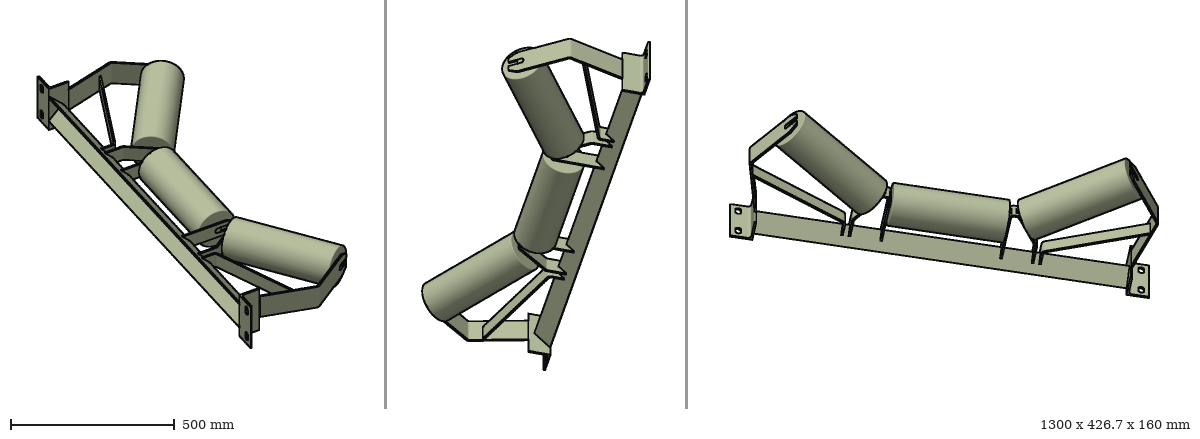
import cadquery as cq
import math


frame_length = 1300.0
trough_angle = 35.0

angle_leg = 70.0
angle_thickness = 6.0
root_radius = 9.0
toe_radius = root_radius / 2

foot_height = 160.0
foot_slot_spacing = 100.0
foot_slot_length = 28.0
foot_slot_width = 18.0
foot_slot_offset = 45.0

roller_diameter = 133.0
roller_length = 360.0
roller_edge_radius = 3.0
roller_gap = 3.0
axle_width = 17.0
axle_tongue_rise = 11.0
center_roller_y = 151.0
side_roller_end_y = 373.4
side_roller_rise = 10.0

strap_thickness = 6.0
bend_radius = 8.0
inner_strap_height = 50.0
inner_strap_root_x = 281.0
inner_strap_bend_y = 91.0
bridge_y = 196.0
outer_strap_height = 80.0
outer_strap_spacing = 369.0
outer_strap_bend_y = 247.0
outer_strap_tip_y = 409.0
tip_chamfer_along = 28.0
tip_chamfer_across = 15.0
brace_root_x = 304.0
brace_bend_y = 76.0
brace_end_y = 205.0
brace_overlap = 1.0
slot_clearance = 0.5

reach = 1.0

foot_heel_x = frame_length / 2 - angle_leg
toe_center_sum = angle_leg + angle_thickness - 2 * toe_radius
beam_ridge_y = toe_center_sum / math.sqrt(2) + toe_radius
center_strap_x = roller_length / 2 + roller_gap
slope_cos = math.cos(math.radians(trough_angle))
slope_sin = math.sin(math.radians(trough_angle))


def sloped_point(along, across):
    """Point given along the right roller axis direction and square to it."""
    return (along * slope_cos - across * slope_sin, along * slope_sin + across * slope_cos)


def sloped_point_at_y(along, y):
    return sloped_point(along, (y - along * slope_sin) / slope_cos)


inner_bend = (inner_strap_root_x + strap_thickness, inner_strap_bend_y)
inner_face = inner_bend[0] * slope_cos + inner_bend[1] * slope_sin
outer_face = inner_face + outer_strap_spacing
roller_outer_end = outer_face - (outer_strap_spacing - roller_length) / 2
side_roller_across = (side_roller_end_y - roller_outer_end * slope_sin) / slope_cos
side_roller_center = sloped_point(roller_outer_end - roller_length / 2, side_roller_across)
side_roller_tilt = math.degrees(math.asin(side_roller_rise / roller_length))


def mirrored(body):
    return body.mirror("YZ")


def rolled_angle(length):
    """Equal angle along +Z with its heel on the Z axis and its legs along +X and +Y."""
    t = angle_thickness
    bar = (
        cq.Workplane("XY")
        .polyline([(0, 0), (angle_leg, 0), (angle_leg, t), (t, t), (t, angle_leg), (0, angle_leg)])
        .close()
        .extrude(length)
    )
    for x, y, radius in ((t, t, root_radius), (angle_leg, t, toe_radius), (t, angle_leg, toe_radius)):
        corner = cq.selectors.BoxSelector((x - reach, y - reach, -reach), (x + reach, y + reach, length + reach))
        bar = bar.edges(corner).fillet(radius)
    return bar


def right_hand_offset(points, distance):
    """The same chain of points moved to its right-hand side, with mitred corners."""
    normals = []
    for (x0, y0), (x1, y1) in zip(points, points[1:]):
        length = math.hypot(x1 - x0, y1 - y0)
        normals.append(((y1 - y0) / length, (x0 - x1) / length))
    before = [normals[0]] + normals
    after = normals + [normals[-1]]
    moved = []
    for (x, y), (ax, ay), (bx, by) in zip(points, before, after):
        scale = distance / (1 + ax * bx + ay * by)
        moved.append((x + scale * (ax + bx), y + scale * (ay + by)))
    return moved


def bent_bar(points, height, z_center):
    """Flat bar with its left face on a chain of points and rounded bends."""
    other_side = right_hand_offset(points, strap_thickness)
    bar = (
        cq.Workplane("XY", origin=(0, 0, z_center - height / 2))
        .polyline(points + other_side[::-1])
        .close()
        .extrude(height)
    )
    for corner, opposite, before, after in zip(points[1:], other_side[1:], points, points[2:]):
        turn = (corner[0] - before[0]) * (after[1] - corner[1])
        turn -= (corner[1] - before[1]) * (after[0] - corner[0])
        inside, outside = (corner, opposite) if turn > 0 else (opposite, corner)
        for (x, y), radius in ((inside, bend_radius), (outside, bend_radius + strap_thickness)):
            low = (x - reach, y - reach, z_center - height)
            high = (x + reach, y + reach, z_center + height)
            bar = bar.edges(cq.selectors.BoxSelector(low, high)).fillet(radius)
    return bar


def axle_bar(length, clearance, rise):
    """Bar along X with a round bottom and straight sides up to the given rise."""
    radius = axle_width / 2 + clearance
    return (
        cq.Workplane("YZ", origin=(-length / 2, 0, 0))
        .moveTo(rise, -radius)
        .lineTo(0, -radius)
        .threePointArc((-radius, 0), (0, radius))
        .lineTo(rise, radius)
        .close()
        .extrude(length)
    )


def place_on_slope(body):
    """Move a body from the origin to the right side roller, sloped and tilted with it."""
    body = body.rotate((0, 0, 0), (0, 1, 0), -side_roller_tilt)
    body = body.rotate((0, 0, 0), (0, 0, 1), trough_angle)
    return body.translate((side_roller_center[0], side_roller_center[1], side_roller_rise / 2))


def roller(axle_length):
    drum = cq.Workplane("YZ", origin=(-roller_length / 2, 0, 0))
    drum = drum.circle(roller_diameter / 2).extrude(roller_length).edges().fillet(roller_edge_radius)
    return drum.union(axle_bar(axle_length, 0, axle_tongue_rise))


center_axle_length = 2 * (center_strap_x + strap_thickness)
side_axle_length = outer_strap_spacing + 2 * strap_thickness
center_roller = roller(center_axle_length).translate((0, center_roller_y, 0))
side_roller = place_on_slope(roller(side_axle_length))

slot_rise = roller_diameter
center_slot = axle_bar(center_axle_length, slot_clearance, slot_rise).translate((0, center_roller_y, 0))
side_slot = place_on_slope(axle_bar(side_axle_length + strap_thickness, slot_clearance, slot_rise))

beam = (
    rolled_angle(2 * foot_heel_x)
    .translate((0, 0, -foot_heel_x))
    .rotate((0, 0, 0), (0, 0, 1), -135)
    .rotate((0, 0, 0), (0, 1, 0), 90)
    .translate((0, beam_ridge_y, 0))
)
beam_space = (
    cq.Workplane("YZ", origin=(-foot_heel_x, 0, 0))
    .moveTo(beam_ridge_y, 0)
    .line(-angle_leg, angle_leg)
    .line(0, -2 * angle_leg)
    .close()
    .extrude(2 * foot_heel_x)
)

inner_strap = bent_bar(
    [
        (center_strap_x, 0),
        (center_strap_x, bridge_y),
        sloped_point_at_y(inner_face, bridge_y),
        inner_bend,
        (inner_bend[0], 0),
    ],
    inner_strap_height,
    0,
)
inner_strap = inner_strap.cut(beam_space).cut(center_slot).cut(side_slot)


def foot():
    slot_x = foot_heel_x + foot_slot_offset
    slots = (
        cq.Workplane("XZ")
        .pushPoints([(slot_x, -foot_slot_spacing / 2), (slot_x, foot_slot_spacing / 2)])
        .slot2D(foot_slot_length, foot_slot_width, 90)
        .extrude(-angle_thickness)
    )
    return rolled_angle(foot_height).translate((foot_heel_x, 0, -foot_height / 2)).cut(slots)


outer_strap_root = (foot_heel_x, angle_leg)
outer_strap_bend = sloped_point_at_y(outer_face, outer_strap_bend_y)
outer_strap_tip = sloped_point_at_y(outer_face, outer_strap_tip_y)


def outer_strap():
    path = [outer_strap_root, outer_strap_bend, outer_strap_tip]
    strap = bent_bar(path, outer_strap_height, side_roller_rise)
    strap = strap.cut(cq.Workplane("XY").box(frame_length, 2 * angle_leg, foot_height))
    corner = (
        cq.Workplane("YZ", origin=(-strap_thickness, 0, 0))
        .polyline([(0, 0), (-tip_chamfer_along, 0), (0, -tip_chamfer_across)])
        .close()
        .extrude(3 * strap_thickness)
        .translate((0, 0, outer_strap_height / 2))
    )
    for chamfer in (corner, corner.mirror("XY")):
        chamfer = chamfer.rotate((0, 0, 0), (0, 0, 1), trough_angle)
        strap = strap.cut(chamfer.translate((*outer_strap_tip, side_roller_rise)))
    return strap.cut(side_slot)


def brace():
    """Bar from the beam to the side of the outer strap, ending just inside it."""
    fraction = (brace_end_y - outer_strap_root[1]) / (outer_strap_bend[1] - outer_strap_root[1])
    end_x = outer_strap_root[0] + fraction * (outer_strap_bend[0] - outer_strap_root[0])
    path = [(brace_root_x, 0), (brace_root_x, brace_bend_y), (end_x + brace_overlap, brace_end_y)]
    return bent_bar(path, inner_strap_height, 0).cut(beam_space)


end_bracket = foot().union(outer_strap()).union(brace())

bodies = [beam, center_roller]
for right_body in (end_bracket, inner_strap, side_roller):
    bodies += [right_body, mirrored(right_body)]

result = cq.Compound.makeCompound([body.val() for body in bodies])